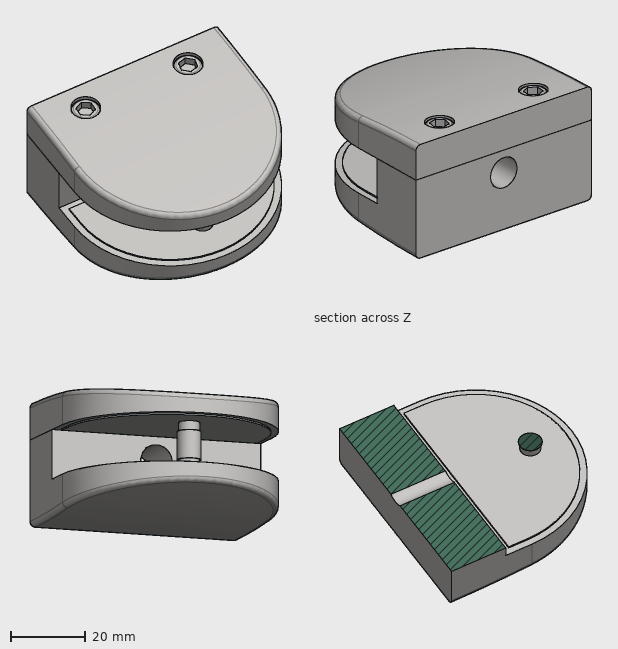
import cadquery as cq

width = 60.0
height = 34.0
front_radius = width / 2
straight_length = 25.0
bow_radius = 300.0
rim_fillet = 1.5

slot_height = 13.5
web_length = 17.0
cable_hole_diameter = 9.0

pad_thickness = 0.4
pad_margin = 2.0

pin_x = 42.0
pin_end_diameter = 5.7
pin_middle_diameter = 6.5
pin_middle_length = 7.75

screw_x = 8.0
screw_spacing = 32.05
screw_row_y = -0.3
recess_radius = 4.0
head_radius = 3.85
head_fillet = 0.55
head_top_drop = 0.55
socket_corner_diameter = 5.3
socket_depth = 2.15
socket_angles = {1: -14.0, -1: -4.0}

half_height = height / 2
half_slot = slot_height / 2
jaw_thickness = half_height - half_slot
pad_face_z = half_slot - pad_thickness


def d_plate(back_x, radius, bottom_z, thickness):
    """Plate with a flat back and a round front centred on the jaw's round front."""
    return (
        cq.Workplane("XY", origin=(0, 0, bottom_z))
        .moveTo(back_x, -radius)
        .lineTo(straight_length, -radius)
        .threePointArc((straight_length + radius, 0), (straight_length, radius))
        .lineTo(back_x, radius)
        .close()
        .extrude(thickness)
    )


def upper_jaw():
    """Bowed upper jaw with a rounded rim and a raised pad underneath."""
    plate = d_plate(0, front_radius, half_slot, jaw_thickness)
    bow = (
        cq.Workplane("XZ", origin=(0, 0, half_height - bow_radius))
        .circle(bow_radius)
        .extrude(width, both=True)
    )
    jaw = plate.intersect(bow)

    bowed_face = jaw.faces(">Z")
    rim = [edge for edge in bowed_face.edges().vals() if edge.Center().x > rim_fillet]
    jaw = jaw.newObject(rim).fillet(rim_fillet)

    pad = d_plate(web_length + pad_margin, front_radius - pad_margin, pad_face_z, pad_thickness)
    return jaw.union(pad)


def make_base():
    """Lower jaw and web, with a hole through the web from the back into the slot."""
    lower_jaw = upper_jaw().mirror("XY")
    web = cq.Workplane("XY").box(web_length, width, slot_height, centered=(False, True, True))
    cable_hole = cq.Workplane("YZ").circle(cable_hole_diameter / 2).extrude(web_length)
    return lower_jaw.union(web).cut(cable_hole)


def make_cover():
    """Upper jaw with two sunken screw heads, each with a hexagon socket."""
    cover = upper_jaw()
    head_top_z = half_height - head_top_drop
    recess_floor_z = head_top_z - head_fillet
    for side, angle in socket_angles.items():
        recess = (
            cq.Workplane("XY", origin=(0, 0, recess_floor_z))
            .circle(recess_radius)
            .extrude(half_height - recess_floor_z)
        )
        head = (
            cq.Workplane("XY", origin=(0, 0, recess_floor_z - head_fillet))
            .circle(head_radius)
            .extrude(2 * head_fillet)
            .faces(">Z")
            .edges()
            .fillet(head_fillet)
        )
        socket = (
            cq.Workplane("XY", origin=(0, 0, head_top_z))
            .polygon(6, socket_corner_diameter)
            .extrude(-socket_depth)
            .rotate((0, 0, 0), (0, 0, 1), angle)
        )
        place = (screw_x, screw_row_y + side * screw_spacing / 2, 0)
        cover = (
            cover.cut(recess.translate(place))
            .union(head.translate(place))
            .cut(socket.translate(place))
        )
    return cover


def pin_section(diameter, section_length):
    """Upright cylinder centred on the mid-plane."""
    return cq.Workplane("XY", origin=(0, 0, -section_length / 2)).circle(diameter / 2).extrude(section_length)


def make_pin():
    """Stepped pin standing between the two pads."""
    ends = pin_section(pin_end_diameter, 2 * pad_face_z)
    middle = pin_section(pin_middle_diameter, pin_middle_length)
    return ends.union(middle).translate((pin_x, 0, 0))


base = make_base()
cover = make_cover()
pin = make_pin()

result = cq.Compound.makeCompound([base.solids().val(), cover.solids().val(), pin.solids().val()])